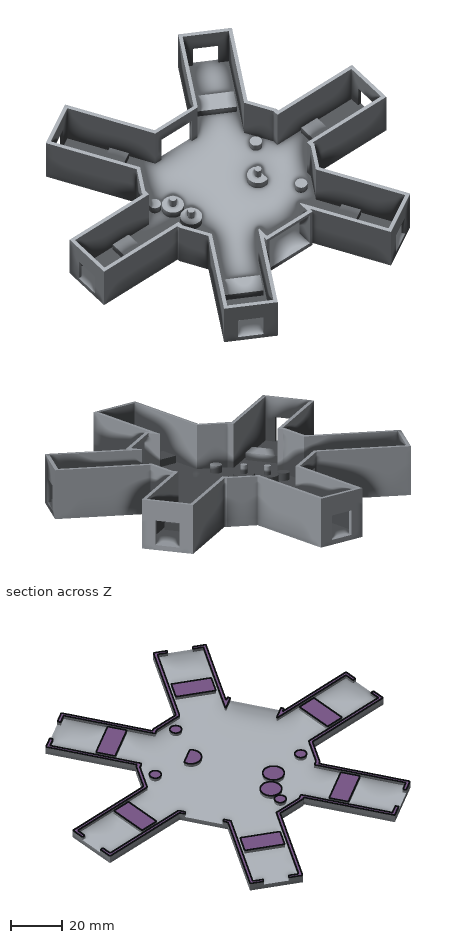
import cadquery as cq
import math


overall_width = 131.05
overall_length = 141.95
height = 20.0
floor_thickness = 2.0
wall = 1.5

arm_angle = 30.0
arm_reach = overall_length / 2
arm_half_width = 10.6
cos_arm = math.cos(math.radians(arm_angle))
sin_arm = math.sin(math.radians(arm_angle))
tan_arm = sin_arm / cos_arm
arm_shift = arm_half_width - (overall_width / 2 - arm_reach * cos_arm) / sin_arm

side_wall_x = 33.2
shoulder_x = 11.5
shoulder_y = 34.0

bay_outer_x = 38.0
bay_half_length = 11.55
bay_opening_half = 10.2
bar_thickness = 1.5
bar_height = 1.5

window_width = 10.0
window_height = 10.0
side_window_width = 15.3
side_window_height = 12.0

block_width = 16.2
block_depth = 8.0
block_height = 3.0
block_distance = 47.4
peg_radius = 2.4
peg_height = 3.0
peg_x = 13.95
peg_y = 25.4
disc_radius = 4.3
disc_height = 3.0
pin_radius = 1.35
pin_top = 8.6
disc_flat_offset = 1.7
flat_disc_center = (0.0, 15.1)
round_disc_centers = [(0.0, -18.5), (-9.2, -20.2)]


def diagonal_point(along, across):
    """Plan point at a distance along and across the +X +Y diagonal arm."""
    return (along * cos_arm - across * sin_arm, along * sin_arm + across * cos_arm)


def quarter_outline(inset):
    """Corners of the +X +Y quarter, from the +Y arm end round to the +X side."""
    half = arm_half_width - inset
    reach = arm_reach - inset
    room_x = side_wall_x - inset
    step_y = shoulder_y - inset / cos_arm
    near_face = arm_shift + half
    far_face = arm_shift - half
    valley_x = (step_y + shoulder_x * tan_arm - near_face / cos_arm) / (2 * tan_arm)
    valley_y = near_face / cos_arm + valley_x * tan_arm
    return [
        (half, reach),
        (half, step_y),
        (shoulder_x, step_y),
        (valley_x, valley_y),
        diagonal_point(reach, near_face),
        diagonal_point(reach, far_face),
        (room_x, far_face / cos_arm + room_x * tan_arm),
    ]


def star(inset, base_z):
    """Star-shaped prism from base_z to the top, set in from the outer faces."""
    quarter = quarter_outline(inset)
    half = quarter + [(x, -y) for x, y in reversed(quarter)]
    outline = half + [(-x, y) for x, y in reversed(half)]
    return cq.Workplane("XY").workplane(offset=base_z).polyline(outline).close().extrude(height - base_z)


def box(x_range, y_range, z_range):
    """Axis-aligned box between pairs of coordinates."""
    size = [r[1] - r[0] for r in (x_range, y_range, z_range)]
    corner = (x_range[0], y_range[0], z_range[0])
    return cq.Workplane("XY").box(*size, centered=False).translate(corner)


def post(center, radius, base_z, top_z):
    """Upright cylinder."""
    return cq.Workplane("XY").workplane(offset=base_z).center(*center).circle(radius).extrude(top_z - base_z)


def at_every_arm(shape, shift):
    """Copies of a shape modelled on a +X arm, one in each of the six arms."""
    copies = [shape.rotate((0, 0, 0), (0, 0, 1), angle) for angle in (90, -90)]
    shifted = shape.translate((0, shift, 0)).rotate((0, 0, 0), (0, 0, 1), arm_angle)
    for source in (shifted, shifted.mirror("XZ")):
        copies += [source, source.mirror("YZ")]
    return copies


def shell():
    """Floor and perimeter wall, with the open bay on the +X side."""
    bay_inner_x = side_wall_x - wall
    bar_inner_x = bay_outer_x - bar_thickness
    bay = box((bay_inner_x, bay_outer_x), (-bay_half_length, bay_half_length), (0, height))
    body = star(0, 0).union(bay).cut(star(wall, floor_thickness))
    opening_y = (-bay_opening_half, bay_opening_half)
    doorway = box((0, bar_inner_x), opening_y, (floor_thickness, height))
    under_bar = box((0, bay_outer_x), opening_y, (floor_thickness, height - bar_height))
    return body.cut(doorway).cut(under_bar)


def cut_windows(body):
    """One window in each arm's end wall and a wide one in the -X side wall."""
    half = window_width / 2
    window_z = (floor_thickness, floor_thickness + window_height)
    window = box((arm_reach - 2 * wall, arm_reach + wall), (-half, half), window_z)
    for opening in at_every_arm(window, arm_shift):
        body = body.cut(opening)
    side_half = side_window_width / 2
    side_z = (floor_thickness, floor_thickness + side_window_height)
    return body.cut(box((-side_wall_x - wall, -side_wall_x + 2 * wall), (-side_half, side_half), side_z))


def add_blocks(body):
    """A low block across the floor of each arm."""
    x_range = (block_distance - block_depth / 2, block_distance + block_depth / 2)
    y_range = (-block_width / 2, block_width / 2)
    block = box(x_range, y_range, (0, floor_thickness + block_height))
    for copy in at_every_arm(block, arm_shift):
        body = body.union(copy)
    return body


def add_pegs(body):
    """Four short pegs near the corners of the central room."""
    for x in (-peg_x, peg_x):
        for y in (-peg_y, peg_y):
            body = body.union(post((x, y), peg_radius, 0, floor_thickness + peg_height))
    return body


def add_discs(body):
    """Three pinned discs, the one on the +Y side having a flat facing +Y."""
    disc_top = floor_thickness + disc_height
    flat_disc = post(flat_disc_center, disc_radius, 0, disc_top)
    flat_y = flat_disc_center[1] + disc_flat_offset
    flat_disc = flat_disc.cut(box((-disc_radius, disc_radius), (flat_y, flat_y + disc_radius), (0, disc_top)))
    body = body.union(flat_disc)
    for center in round_disc_centers:
        body = body.union(post(center, disc_radius, 0, disc_top))
    for center in [flat_disc_center] + round_disc_centers:
        body = body.union(post(center, pin_radius, 0, pin_top))
    return body


result = add_discs(add_pegs(add_blocks(cut_windows(shell()))))